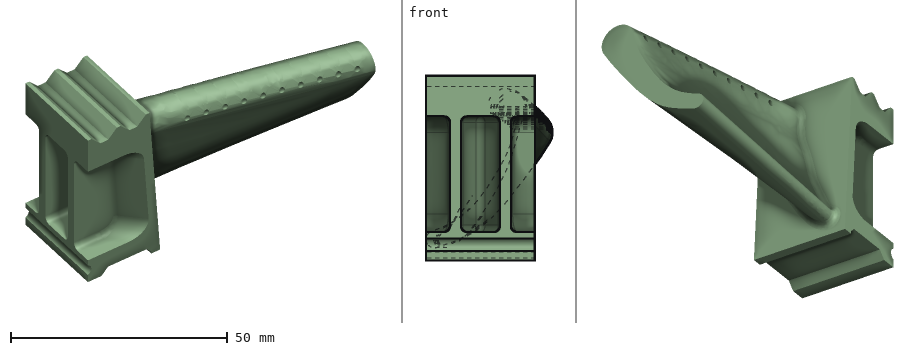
import cadquery as cq
import math

block_width = 25.15
block_height = 42.7
block_top_depth = 17.4
lean_angle = 4.0
lean = math.tan(math.radians(lean_angle))
block_bottom_depth = block_top_depth + block_height * lean

groove_count = 2
groove_depth = 2.5
groove_land = 1.05
groove_pitch = 8.2

recess_height = 1.9
recess_lip_height = 0.65
recess_front_bottom = 3.85
recess_front_top = 5.7
recess_back_top = 16.6
recess_back_bottom = 17.9
notch_bottom = 2.2
notch_width = 2.9
notch_depth = 1.0

pocket_bottom = 6.6
pocket_top = 33.3
web_thickness = 2.5
middle_pocket_width = 9.05
back_wall = 2.5
pocket_fillet = 1.5
back_wall_fillet = 4.0
overrun = 8.0
pocket_deep_y = block_bottom_depth - back_wall
side_pocket_width = (block_width - middle_pocket_width) / 2 - web_thickness

overall_length = 80.1
tip_lowest_z = 3.0
root_overlap = 0.8
root_fillet = 1.45
nose_bow = 0.25
root_offset = block_bottom_depth - root_overlap
tip_offset = overall_length + lean * tip_lowest_z

root_section = {
    "pressure": [(4.2, 6.4), (6.6, 9.6), (9.5, 16.4), (11.8, 24.8), (13.6, 35.25)],
    "nose": [(18.4, 40.1)],
    "suction": [(22.4, 34.05), (19.2, 23.2), (14.8, 14.0), (10.0, 6.8), (5.45, 3.1)],
    "tail": [(3.1, 4.2)],
}
tip_section = {
    "pressure": [(1.3, 6.7), (7.45, 9.7), (13.6, 16.1), (17.6, 22.6), (20.6, 30.6)],
    "nose": [(25.4, 34.0)],
    "suction": [(28.7, 27.5), (25.15, 22.2), (19.6, 14.8), (10.8, 6.4), (2.6, 3.05)],
    "tail": [(0.0, 4.65)],
}

hole_count = 10
hole_diameter = 1.5
hole_first_y = 28.8
hole_pitch = 5.0
hole_first_z = 34.8
hole_last_z = 31.2


def make_block():
    """Extrude the side profile of the block across its width."""
    groove_floor = block_height - groove_depth
    profile = cq.Workplane("YZ").lineTo(0, notch_bottom)
    profile = profile.threePointArc(
        (notch_depth, notch_bottom + notch_width / 2), (0, notch_bottom + notch_width)
    )
    profile = profile.lineTo(0, block_height)
    for i in range(groove_count):
        start = groove_land + i * groove_pitch
        end = (i + 1) * groove_pitch
        profile = (
            profile.lineTo(start, block_height)
            .lineTo(start + groove_depth, groove_floor)
            .lineTo(end - groove_depth, groove_floor)
            .lineTo(end, block_height)
        )
    profile = (
        profile.lineTo(block_top_depth, block_height)
        .lineTo(block_bottom_depth, 0)
        .lineTo(recess_back_bottom, 0)
        .lineTo(recess_back_bottom, recess_lip_height)
        .lineTo(recess_back_top, recess_height)
        .lineTo(recess_front_top, recess_height)
        .lineTo(recess_front_bottom, 0)
        .close()
    )
    return profile.extrude(block_width)


def leaning_prism(plan):
    """Sweep a plan outline parallel to the back face and trim it to the pocket height."""
    path = cq.Workplane("YZ").lineTo(-lean * block_height, block_height)
    prism = cq.Workplane("XY").polyline(plan).close().sweep(path)
    slab_size = 4 * block_width
    slab = (
        cq.Workplane("XY", origin=(0, 0, pocket_bottom))
        .rect(slab_size, slab_size)
        .extrude(pocket_top - pocket_bottom)
    )
    return prism.intersect(slab)


def make_side_pocket():
    """Pocket open to the left and the front, with its back wall at 45 degrees to the web."""
    pocket = leaning_prism([
        (-overrun, -overrun),
        (side_pocket_width, -overrun),
        (side_pocket_width, pocket_deep_y - side_pocket_width),
        (-overrun, pocket_deep_y + overrun),
    ])
    pocket = pocket.edges("|(1,-1,0)").fillet(back_wall_fillet)
    return pocket.faces(">X").edges("not <Y").fillet(pocket_fillet)


def make_middle_pocket():
    """Pocket between the webs, with a V-shaped back wall deepest at the centre."""
    centre = block_width / 2
    half_width = middle_pocket_width / 2
    left = centre - half_width
    right = centre + half_width
    pocket = leaning_prism([
        (left, -overrun),
        (right, -overrun),
        (right, pocket_deep_y - half_width),
        (centre, pocket_deep_y),
        (left, pocket_deep_y - half_width),
    ])
    return pocket.edges("not <Y").fillet(pocket_fillet)


def halfway_section():
    """Average of the root and tip sections, with the nose end bowed slightly upwards."""
    section = {}
    for part, root_points in root_section.items():
        section[part] = [
            ((root_x + tip_x) / 2, (root_z + tip_z) / 2)
            for (root_x, root_z), (tip_x, tip_z) in zip(root_points, tip_section[part])
        ]
    for part in ("pressure", "nose"):
        x, z = section[part][-1]
        section[part][-1] = (x, z + nose_bow)
    return section


def section_wire(section, offset):
    """Closed aerofoil wire on a plane parallel to the back face, at Y = offset where Z = 0."""
    def on_plane(part):
        return [cq.Vector(x, offset - lean * z, z) for x, z in section[part]]

    pressure = on_plane("pressure")
    suction = on_plane("suction")
    nose_arc = cq.Edge.makeThreePointArc(pressure[-1], on_plane("nose")[0], suction[0])
    tail_arc = cq.Edge.makeThreePointArc(suction[-1], on_plane("tail")[0], pressure[0])
    pressure_side = cq.Edge.makeSpline(pressure, [tail_arc.tangentAt(1), nose_arc.tangentAt(0)])
    suction_side = cq.Edge.makeSpline(suction, [nose_arc.tangentAt(1), tail_arc.tangentAt(0)])
    return cq.Wire.assembleEdges([pressure_side, nose_arc, suction_side, tail_arc])


def make_blade():
    """Loft the blade from just inside the block, through its middle, to the tip."""
    wires = [
        section_wire(root_section, root_offset),
        section_wire(halfway_section(), (root_offset + tip_offset) / 2),
        section_wire(tip_section, tip_offset),
    ]
    return cq.Workplane(cq.Solid.makeLoft(wires))


def add_blade(block):
    """Join the blade to the leaning back face with a fillet round its foot."""
    joined = block.union(make_blade())
    leaning_faces = joined.faces(cq.selectors.ParallelDirSelector(cq.Vector(0, 1, lean))).vals()
    back_face = min(leaning_faces, key=lambda face: face.Center().y)
    foot_edges = back_face.innerWires()[0].Edges()
    return joined.newObject(foot_edges).fillet(root_fillet)


def make_holes():
    """Row of holes along X that follows the bowed lower edge of the nose."""
    centres = []
    for i in range(hole_count):
        along = i / (hole_count - 1)
        bow = 4 * nose_bow * along * (1 - along)
        z = hole_first_z + along * (hole_last_z - hole_first_z) + bow
        centres.append((hole_first_y + i * hole_pitch, z))
    return cq.Workplane("YZ").pushPoints(centres).circle(hole_diameter / 2).extrude(2 * block_width)


left_pocket = make_side_pocket()
right_pocket = left_pocket.mirror("YZ").translate((block_width, 0, 0))
pocketed_block = make_block().cut(left_pocket).cut(right_pocket).cut(make_middle_pocket())
result = add_blade(pocketed_block).cut(make_holes())